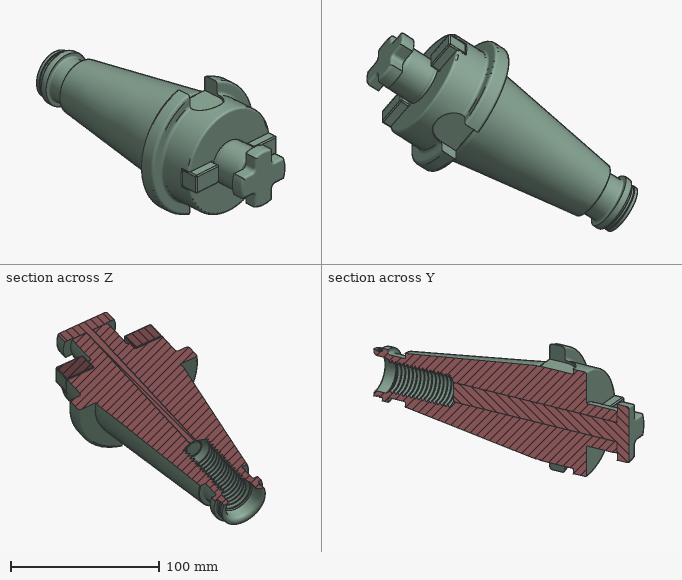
import cadquery as cq
import math

end_groove_start = 2.4
end_groove_width = 2.4
rear_collar_start = 6.5
rear_collar_end = 11.4
taper_start = 24.5
gauge_plane = 126.9
relief_start = 128.3
flange_start = 130.0
flange_end = 141.9
hub_end = 166.6
arbor_end = 190.5
overall_length = 199.8

rear_end_radius = 17.4
end_groove_radius = 16.8
rear_collar_radius = 19.8
neck_radius = 16.2
gauge_radius = 35.0
relief_radius = 34.8
flange_radius = 97.0 / 2
hub_radius = 39.0
arbor_radius = 16.0

small_chamfer = 0.4
collar_edge_length = 1.0
collar_edge_drop = 0.2
neck_fillet = 1.2
flange_fillet = 2.0
hub_edge_fillet = 1.5
undercut_depth = 0.2
undercut_flank = 0.8
undercut_width = 2.4
arbor_lead_length = 2.5
arbor_lead_drop = 0.2
arbor_end_fillet = 1.4

bore_lip_fillet = 3.0
counterbore_radius = 13.0
counterbore_depth = 9.8
thread_root_radius = 12.2
thread_radius = 10.2
thread_relief_length = 0.8
thread_pitch = 3.0
thread_flank_angle = 60.0
thread_turns = 16
drill_point_angle = 118.0

notch_width = 26.0
notch_floor = 35.2
notch_end = 156.0

key_width = 14.0
key_start = 159.5
key_end = 173.6
key_inner = 16.5
key_outer = 38.4
key_chamfer = 0.9
key_count = 2

screw_shank_radius = 7.0
screw_tip_chamfer = 0.8
head_radius = 21.0
head_arm_width = 16.2
head_corner_fillet = 3.0
head_edge_fillet = 1.8

taper_slope = 7.0 / 24.0 / 2.0
taper_small_radius = gauge_radius - taper_slope * (gauge_plane - taper_start)
drill_point_length = (thread_radius - screw_shank_radius) / math.tan(math.radians(drill_point_angle / 2))
thread_flank_length = (thread_root_radius - thread_radius) / math.tan(math.radians(thread_flank_angle))
thread_crest_length = thread_pitch - 2 * thread_flank_length
thread_start = counterbore_depth + counterbore_radius - thread_root_radius + thread_relief_length
thread_depth = thread_start + thread_turns * thread_pitch
screw_tip = thread_depth + thread_flank_length + drill_point_length


def revolve_about_x(profile):
    return profile.close().revolve(360, (0, 0, 0), (1, 0, 0))


def corner_arc(profile, centre, radius, angle, end):
    """Add an arc about centre that passes the given angle in degrees and stops at end."""
    turn = math.radians(angle)
    middle = (centre[0] + radius * math.cos(turn), centre[1] + radius * math.sin(turn))
    return profile.threePointArc(middle, end)


def make_shank_and_hub():
    """Solid of revolution: rear end, collar, neck, taper, flange, hub and arbor."""
    c = small_chamfer
    collar_edge_radius = rear_collar_radius - collar_edge_drop
    groove_end = end_groove_start + end_groove_width
    profile = cq.Workplane("XZ").lineTo(0, rear_end_radius)
    profile = (
        profile.lineTo(end_groove_start, rear_end_radius)
        .lineTo(end_groove_start + c, end_groove_radius)
        .lineTo(groove_end - c, end_groove_radius)
        .lineTo(groove_end, rear_end_radius)
        .lineTo(rear_collar_start, rear_end_radius)
        .lineTo(rear_collar_start, collar_edge_radius)
        .lineTo(rear_collar_start + collar_edge_length, rear_collar_radius)
        .lineTo(rear_collar_end - collar_edge_length, rear_collar_radius)
        .lineTo(rear_collar_end, collar_edge_radius)
        .lineTo(rear_collar_end, neck_radius + neck_fillet)
    )
    profile = corner_arc(
        profile,
        (rear_collar_end + neck_fillet, neck_radius + neck_fillet),
        neck_fillet,
        225,
        (rear_collar_end + neck_fillet, neck_radius),
    )
    profile = profile.lineTo(taper_start - c, neck_radius)
    profile = corner_arc(
        profile, (taper_start - c, neck_radius + c), c, 315, (taper_start, neck_radius + c)
    )
    profile = (
        profile.lineTo(taper_start, taper_small_radius - c)
        .lineTo(taper_start + c, taper_small_radius + c * taper_slope)
        .lineTo(gauge_plane, gauge_radius)
        .lineTo(relief_start, relief_radius)
        .lineTo(flange_start, relief_radius)
    )

    f = flange_fillet
    rim = flange_radius - f
    profile = profile.lineTo(flange_start, rim)
    profile = corner_arc(profile, (flange_start + f, rim), f, 135, (flange_start + f, flange_radius))
    profile = profile.lineTo(flange_end - f, flange_radius)
    profile = corner_arc(profile, (flange_end - f, rim), f, 45, (flange_end, rim))
    profile = profile.lineTo(flange_end, hub_radius + f)
    profile = corner_arc(profile, (flange_end + f, hub_radius + f), f, 225, (flange_end + f, hub_radius))

    h = hub_edge_fillet
    profile = profile.lineTo(hub_end - h, hub_radius)
    profile = corner_arc(profile, (hub_end - h, hub_radius - h), h, 45, (hub_end, hub_radius - h))

    root_radius = arbor_radius - undercut_depth
    undercut_end = hub_end + undercut_width
    lead_radius = arbor_radius - arbor_lead_drop
    a = arbor_end_fillet
    profile = (
        profile.lineTo(hub_end, arbor_radius)
        .lineTo(hub_end + undercut_flank, root_radius)
        .lineTo(undercut_end - undercut_flank, root_radius)
        .lineTo(undercut_end, arbor_radius)
        .lineTo(arbor_end - arbor_lead_length, arbor_radius)
        .lineTo(arbor_end - a, lead_radius)
    )
    profile = corner_arc(profile, (arbor_end - a, lead_radius - a), a, 45, (arbor_end, lead_radius - a))
    return revolve_about_x(profile.lineTo(arbor_end, 0))


def make_bore():
    """Rounded mouth, counterbore, ring-grooved thread with a drill point, and the screw hole."""
    r = bore_lip_fillet
    profile = cq.Workplane("XZ").lineTo(0, counterbore_radius + r)
    profile = corner_arc(profile, (r, counterbore_radius + r), r, 225, (r, counterbore_radius))
    profile = profile.lineTo(counterbore_depth, counterbore_radius)
    profile = profile.lineTo(thread_start - thread_relief_length, thread_root_radius)
    profile = profile.lineTo(thread_start, thread_root_radius)
    for turn in range(thread_turns):
        crest = thread_start + turn * thread_pitch + thread_flank_length
        profile = (
            profile.lineTo(crest, thread_radius)
            .lineTo(crest + thread_crest_length, thread_radius)
            .lineTo(crest + thread_crest_length + thread_flank_length, thread_root_radius)
        )
    profile = (
        profile.lineTo(thread_depth + thread_flank_length, thread_radius)
        .lineTo(screw_tip, screw_shank_radius)
        .lineTo(arbor_end, screw_shank_radius)
        .lineTo(arbor_end, 0)
    )
    return revolve_about_x(profile)


def make_notch(side):
    """Round-ended driving notch; side is +1 for the upper one, -1 for the lower one."""
    arc_centre = notch_end - notch_width / 2
    return (
        cq.Workplane("XY")
        .workplane(offset=side * notch_floor)
        .moveTo(gauge_plane, -notch_width / 2)
        .lineTo(arc_centre, -notch_width / 2)
        .threePointArc((notch_end, 0), (arc_centre, notch_width / 2))
        .lineTo(gauge_plane, notch_width / 2)
        .close()
        .extrude(side * (flange_radius - notch_floor))
    )


def key_block(outer):
    """Plain block for the key on the -Y side, reaching out to the given distance."""
    return cq.Workplane("XY").box(
        key_end - key_start, outer - key_inner, key_width, centered=(False, False, True)
    ).translate((key_start, -outer, 0))


def around_axis(body, index):
    return body.rotate((0, 0, 0), (1, 0, 0), index * 360 / key_count)


def make_holder():
    holder = make_shank_and_hub().cut(make_bore())
    for side in (1, -1):
        holder = holder.cut(make_notch(side))
    for index in range(key_count):
        holder = holder.cut(around_axis(key_block(hub_radius), index))
    return holder


def make_key(index):
    return around_axis(key_block(key_outer).edges().chamfer(key_chamfer), index)


def make_screw():
    """Retaining screw with a four-armed head."""
    head_length = overall_length - arbor_end
    arms = cq.Workplane("YZ").rect(2 * head_radius, head_arm_width).extrude(head_length)
    arms = arms.union(cq.Workplane("YZ").rect(head_arm_width, 2 * head_radius).extrude(head_length))
    inner_corner = head_arm_width / math.sqrt(2)
    corner_finder = cq.selectors.BoxSelector(
        (-2, -inner_corner, -inner_corner), (overall_length, inner_corner, inner_corner)
    )
    arms = arms.edges("|X").edges(corner_finder).fillet(head_corner_fillet)
    head = arms.intersect(cq.Workplane("YZ").circle(head_radius).extrude(head_length))
    head = head.faces(">X").edges().fillet(head_edge_fillet).translate((arbor_end, 0, 0))
    shank = (
        cq.Workplane("YZ", origin=(screw_tip, 0, 0))
        .circle(screw_shank_radius)
        .extrude(arbor_end - screw_tip)
        .faces("<X")
        .chamfer(screw_tip_chamfer)
    )
    return head.union(shank)


holder = make_holder()
keys = [make_key(index) for index in range(key_count)]
screw = make_screw()

result = cq.Compound.makeCompound([holder.val(), *[key.val() for key in keys], screw.val()])